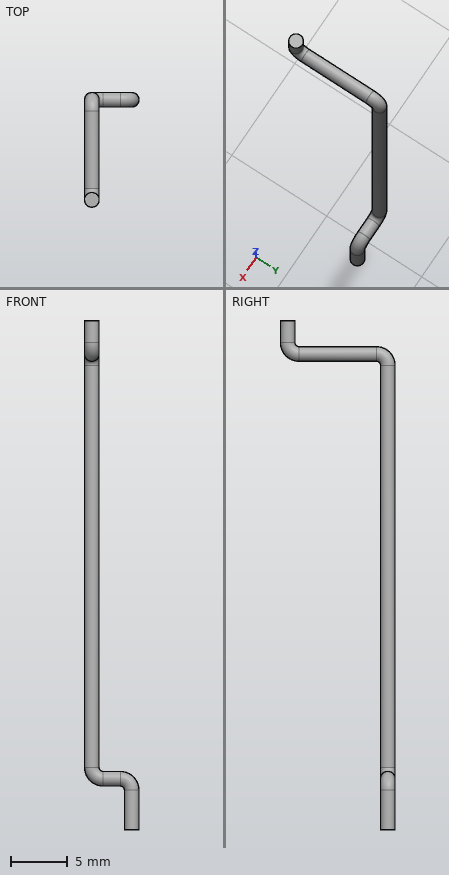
import cadquery as cq
import math

wire_diameter = 1.3
bend_radius = 1.0
total_width = 4.8
total_depth = 10.09
total_height = 44.72
foot_length = 3.5
tip_length = 1.92

foot_x = total_width - wire_diameter
tip_y = -(total_depth - wire_diameter)
lower_arm_z = foot_length + bend_radius
upper_arm_z = total_height - tip_length - bend_radius

bend_mid_offset = bend_radius * (1 - math.sqrt(0.5))


def shift(point, direction, distance):
    """Move a point along a unit direction."""
    return tuple(p + d * distance for p, d in zip(point, direction))


def bend_edges(start, corner, incoming, outgoing):
    """Run straight from start to a right-angle corner and round it with a tangent arc."""
    arc_start = shift(corner, incoming, -bend_radius)
    arc_end = shift(corner, outgoing, bend_radius)
    arc_middle = shift(shift(corner, incoming, -bend_mid_offset), outgoing, bend_mid_offset)
    straight = cq.Edge.makeLine(cq.Vector(start), cq.Vector(arc_start))
    arc = cq.Edge.makeThreePointArc(cq.Vector(arc_start), cq.Vector(arc_middle), cq.Vector(arc_end))
    return [straight, arc], arc_end


def make_centreline():
    """Trace the wire from the foot, along both arms and the shaft, to the tip."""
    up = (0, 0, 1)
    toward_shaft = (-1, 0, 0)
    toward_tip = (0, -1, 0)
    bends = [
        ((foot_x, 0, lower_arm_z), up, toward_shaft),
        ((0, 0, lower_arm_z), toward_shaft, up),
        ((0, 0, upper_arm_z), up, toward_tip),
        ((0, tip_y, upper_arm_z), toward_tip, up),
    ]
    edges = []
    position = (foot_x, 0, 0)
    for corner, incoming, outgoing in bends:
        new_edges, position = bend_edges(position, corner, incoming, outgoing)
        edges += new_edges
    tip_end = (0, tip_y, total_height)
    edges.append(cq.Edge.makeLine(cq.Vector(position), cq.Vector(tip_end)))
    return cq.Wire.assembleEdges(edges)


def make_wire():
    """Sweep the round section along the centreline."""
    section = cq.Workplane("XY").center(foot_x, 0).circle(wire_diameter / 2)
    return section.sweep(make_centreline())


result = make_wire()